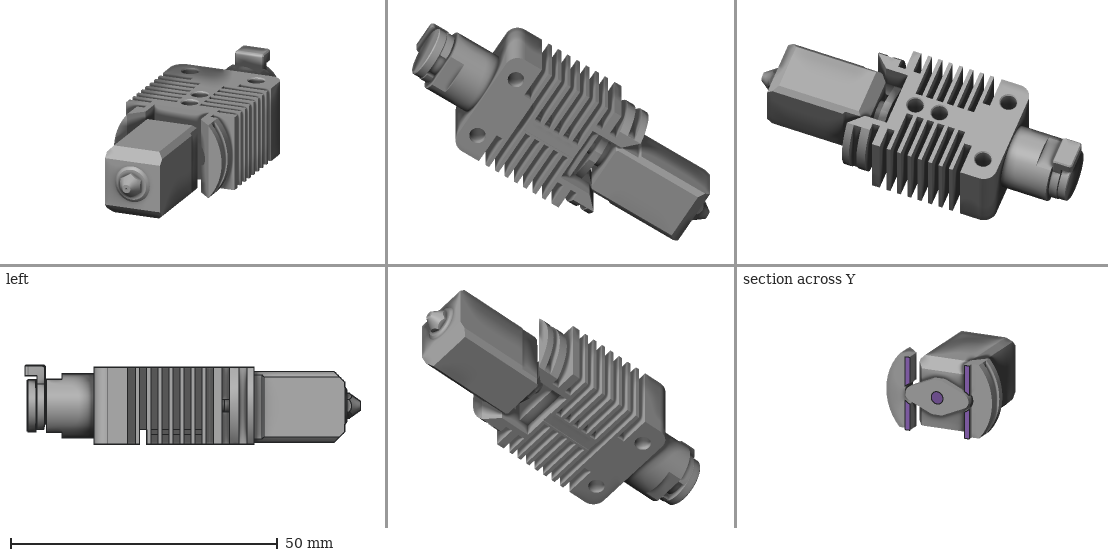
import cadquery as cq
import math


HEATSINK_FRONT = 19.95
HEATSINK_BACK = 49.95
POCKET_FLOOR = 26.9
FLANGE_FRONT = 24.1
FLANGE_BACK = 25.55
BLOCK_FRONT = 2.95
BLOCK_BACK = 22.95
FITTING_BACK = 58.9

SINK_WIDTH = 22.0
SINK_HEIGHT = 14.45
SINK_CORNER_RADIUS = 2.5
FIN_PITCH = 2.1
FIN_GAP = 1.3
FIN_GAP_COUNT = 6
FIRST_GAP_BACK = 41.4
CORE_HALF_WIDTH = 2.3
HEAD_SLOT_BACK = 43.65
HEAD_SLOT_FRONT = 42.15
HEAD_SLOT_ROOT = 4.8
ARM_HALF_WIDTH = 6.7
THICK_FIN_BACK = 27.55
ROUND_FIN_ROOT = 8.25
ROUND_FIN_BACK = 24.5
ARM_GAP_BACK = 26.0
ROUND_GAP_FRONT = 21.3
ROUND_GAP_BACK = 22.85
ROUND_FIN_DIAMETER = 21.9
POCKET_HALF_WIDTH = 5.6
CORE_BOTTOM = -4.45
KEEL_STEP = -5.4
KEEL_TOP_WIDTH = 3.9
KEEL_WIDTH = 3.15
KEEL_GROOVE_WIDTH = 2.25
KEEL_GROOVE_DEPTH = 0.2
HOLE_DIAMETER = 3.1
HOLE_RIM_DIAMETER = 3.5
MOUNT_HOLE_X = 6.7
MOUNT_HOLE_Y = 46.7
CLAMP_HOLE_YS = (35.4, 30.6)

COLLAR_DIAMETER = 5.05
BREAK_DIAMETER = 4.1
NECK_DIAMETER = 2.5
BREAK_TOP = 39.0
BREAK_BOTTOM = 15.1
FLANGE_FLAT_WIDTH = 2.1
FLANGE_HALF_HEIGHT = 3.4
EAR_DIAMETER = 3.0
EAR_X = 5.05
EAR_RECESS_DIAMETER = 4.1

PIN_DIAMETER = 1.5

BLOCK_WIDTH = 11.2
BLOCK_TOP = 6.4
BLOCK_BOTTOM = -6.85
BLOCK_EDGE_CHAMFER = 1.0
BLOCK_END_CHAMFER = 2.0
BLOCK_STEP_DEPTH = 0.4
BLOCK_STEP_Y = 18.5
BLOCK_CORNER_CHAMFER = 0.95
BOSS_DIAMETER = 7.05
BOSS_END_DIAMETER = 5.9
BOSS_FRONT = 2.6

NOZZLE_DIAMETER = 5.0
HEX_ACROSS_FLATS = 4.1
CONE_DIAMETER = 4.7
CONE_BACK = 2.15
TIP_DIAMETER = 1.65
ORIFICE_DIAMETER = 0.4

FITTING_DIAMETER = 12.0
FITTING_FLAT_SPACING = 10.0
FITTING_FLAT_FRONT = 56.0
COLLET_DIAMETER = 9.75
COLLET_NECK_DIAMETER = 6.8
COLLET_BACK = 62.45
COLLET_CHAMFER = 0.2
COLLET_HEAD_FRONT = 60.8
CLIP_DIAMETER = 10.05
CLIP_FRONT = 59.0
CLIP_BACK = 60.65
CLIP_MOUTH_WIDTH = 4.65
TAB_WIDTH = 5.8
TAB_TOP = 7.7
TAB_UNDERSIDE = 5.6
TAB_BACK = 62.9
TAB_CORNER_RADIUS = 0.6
CLIP_CHAMFER = 0.25
LEG_TAPER = 0.5
LEG_TAPER_TOP = -2.8


def box(x0, x1, y0, y1, z0, z1):
    """Axis-aligned box between opposite corners."""
    return cq.Workplane("XY").box(x1 - x0, y1 - y0, z1 - z0, centered=False).translate((x0, y0, z0))


def disc(diameter, y0, y1, x=0.0):
    """Round bar parallel to Y, from y0 to y1."""
    face_plane = cq.Workplane("XZ", origin=(x, y0, 0))
    return face_plane.circle(diameter / 2).extrude(y0 - y1)


def cone(diameter0, diameter1, y0, y1):
    """Cone frustum about the Y axis, diameter0 at y0 and diameter1 at y1."""
    profile = [(0, y0), (diameter0 / 2, y0), (diameter1 / 2, y1), (0, y1)]
    return cq.Workplane("XY").polyline(profile).close().revolve(360, (0, 0), (0, 1))


def hex_bar(across_flats, y0, y1):
    """Hexagonal bar parallel to Y with its flats facing +X and -X."""
    corner_circle = across_flats / math.cos(math.pi / 6)
    bar = cq.Workplane("XZ").polygon(6, corner_circle).extrude(y0 - y1)
    return bar.rotate((0, 0, 0), (0, 1, 0), 30).translate((0, y0, 0))


def flange_plate(y0, y1):
    """Lozenge with short flats above and below and a round ear on each side."""
    flat = FLANGE_FLAT_WIDTH / 2
    ear = EAR_DIAMETER / 2
    reach = math.hypot(EAR_X - flat, FLANGE_HALF_HEIGHT)
    slope = math.atan2(FLANGE_HALF_HEIGHT, EAR_X - flat) - math.asin(ear / reach)
    tangent_x = EAR_X + ear * math.sin(slope)
    tangent_z = ear * math.cos(slope)
    outline = (
        cq.Workplane("XZ", origin=(0, y0, 0))
        .moveTo(-flat, FLANGE_HALF_HEIGHT)
        .lineTo(flat, FLANGE_HALF_HEIGHT)
        .lineTo(tangent_x, tangent_z)
        .threePointArc((EAR_X + ear, 0), (tangent_x, -tangent_z))
        .lineTo(flat, -FLANGE_HALF_HEIGHT)
        .lineTo(-flat, -FLANGE_HALF_HEIGHT)
        .lineTo(-tangent_x, -tangent_z)
        .threePointArc((-EAR_X - ear, 0), (-tangent_x, tangent_z))
        .close()
    )
    return outline.extrude(y0 - y1)


def vertical_hole(x, y, bottom):
    """Cutter for a hole from the heatsink top down to bottom, with a chamfered rim."""
    top = SINK_HEIGHT / 2
    rim = (HOLE_RIM_DIAMETER - HOLE_DIAMETER) / 2
    profile = [
        (0, bottom),
        (HOLE_DIAMETER / 2, bottom),
        (HOLE_DIAMETER / 2, top - rim),
        (HOLE_RIM_DIAMETER / 2, top),
        (0, top),
    ]
    cutter = cq.Workplane("XZ").polyline(profile).close().revolve(360, (0, 0), (0, 1))
    return cutter.translate((x, y, 0))


def last_fin_front():
    """Front face of the last thin fin, where the row of side slots ends."""
    return FIRST_GAP_BACK - FIN_GAP_COUNT * FIN_PITCH


def heatsink_slots():
    """Front edge, back edge and root half width of each pair of side slots."""
    slots = [(HEAD_SLOT_FRONT, HEAD_SLOT_BACK, HEAD_SLOT_ROOT)]
    for i in range(FIN_GAP_COUNT):
        back = FIRST_GAP_BACK - i * FIN_PITCH
        slots.append((back - FIN_GAP, back, CORE_HALF_WIDTH))
    slots.append((THICK_FIN_BACK, last_fin_front(), ARM_HALF_WIDTH))
    slots.append((ROUND_FIN_BACK, ARM_GAP_BACK, ARM_HALF_WIDTH))
    slots.append((ROUND_GAP_FRONT, ROUND_GAP_BACK, ROUND_FIN_ROOT))
    return slots


def make_heatsink():
    side = SINK_WIDTH / 2
    top = SINK_HEIGHT / 2
    body = box(-side, side, HEATSINK_FRONT, HEATSINK_BACK, -top, top)
    body = body.edges("|Z and >Y").fillet(SINK_CORNER_RADIUS)

    front_blank = box(-side, side, HEATSINK_FRONT, ROUND_FIN_BACK, -top, top)
    round_front = disc(ROUND_FIN_DIAMETER, HEATSINK_FRONT, ROUND_FIN_BACK)
    body = body.cut(front_blank.cut(round_front))

    for front, back, root in heatsink_slots():
        body = body.cut(box(root, side, front, back, -top, top))
        body = body.cut(box(-side, -root, front, back, -top, top))

    mouth = ROUND_FIN_ROOT
    flare_back = HEATSINK_FRONT + mouth - POCKET_HALF_WIDTH
    pocket = (
        cq.Workplane("XY", origin=(0, 0, -top))
        .polyline([
            (-mouth, HEATSINK_FRONT),
            (mouth, HEATSINK_FRONT),
            (POCKET_HALF_WIDTH, flare_back),
            (POCKET_HALF_WIDTH, POCKET_FLOOR),
            (-POCKET_HALF_WIDTH, POCKET_FLOOR),
            (-POCKET_HALF_WIDTH, flare_back),
        ])
        .close()
        .extrude(SINK_HEIGHT)
    )
    body = body.cut(pocket)

    keel_back = FIRST_GAP_BACK - FIN_GAP
    core = CORE_HALF_WIDTH
    arm = POCKET_HALF_WIDTH
    body = body.cut(box(-arm, arm, POCKET_FLOOR, last_fin_front(), -top, CORE_BOTTOM))
    for i in range(FIN_GAP_COUNT):
        back = FIRST_GAP_BACK - i * FIN_PITCH
        body = body.cut(box(-core, core, back - FIN_GAP, back, -top, CORE_BOTTOM))
    step = KEEL_TOP_WIDTH / 2
    keel = KEEL_WIDTH / 2
    body = body.union(box(-step, step, last_fin_front(), keel_back, KEEL_STEP, CORE_BOTTOM))
    body = body.union(box(-keel, keel, last_fin_front(), keel_back, -top, KEEL_STEP))
    groove = KEEL_GROOVE_WIDTH / 2
    groove_top = KEEL_GROOVE_DEPTH - top
    body = body.cut(box(-groove, groove, last_fin_front(), keel_back, -top, groove_top))

    for x in (-EAR_X, EAR_X):
        body = body.cut(disc(EAR_RECESS_DIAMETER, HEATSINK_FRONT, ARM_GAP_BACK, x))
    body = body.cut(disc(BREAK_DIAMETER, POCKET_FLOOR, BREAK_TOP))

    for x in (-MOUNT_HOLE_X, MOUNT_HOLE_X):
        body = body.cut(vertical_hole(x, MOUNT_HOLE_Y, -top))
    for y in CLAMP_HOLE_YS:
        body = body.cut(vertical_hole(0, y, 0))
    return body


def make_heat_break():
    body = disc(BREAK_DIAMETER, POCKET_FLOOR, BREAK_TOP)
    body = body.union(disc(NECK_DIAMETER, FLANGE_BACK, POCKET_FLOOR))
    body = body.union(flange_plate(FLANGE_FRONT, FLANGE_BACK))
    body = body.union(disc(COLLAR_DIAMETER, BREAK_BOTTOM, FLANGE_FRONT))
    for x in (-EAR_X, EAR_X):
        body = body.cut(disc(PIN_DIAMETER, FLANGE_FRONT, FLANGE_BACK, x))
    return body


def make_pin(x):
    """Pin flush with both faces of a flange ear."""
    return disc(PIN_DIAMETER, FLANGE_FRONT, FLANGE_BACK, x)


def make_heater_block():
    side = BLOCK_WIDTH / 2
    narrow = side - BLOCK_STEP_DEPTH
    shoulder = BLOCK_STEP_Y - BLOCK_STEP_DEPTH
    corner = BLOCK_CORNER_CHAMFER
    half_plan = [
        (side, BLOCK_FRONT),
        (side, shoulder),
        (narrow, BLOCK_STEP_Y),
        (narrow, BLOCK_BACK - corner),
        (narrow - corner, BLOCK_BACK),
    ]
    plan = half_plan + [(-x, y) for x, y in reversed(half_plan)]
    height = BLOCK_TOP - BLOCK_BOTTOM
    body = cq.Workplane("XY", origin=(0, 0, BLOCK_BOTTOM)).polyline(plan).close().extrude(height)

    middle_z = (BLOCK_TOP + BLOCK_BOTTOM) / 2
    length_section = (
        cq.Workplane("XZ", origin=(0, BLOCK_FRONT, middle_z))
        .rect(BLOCK_WIDTH, height)
        .extrude(BLOCK_FRONT - BLOCK_BACK)
        .edges("|Y")
        .chamfer(BLOCK_EDGE_CHAMFER)
    )

    end = BLOCK_END_CHAMFER
    side_profile = [
        (BLOCK_FRONT, BLOCK_BOTTOM + end),
        (BLOCK_FRONT + end, BLOCK_BOTTOM),
        (BLOCK_BACK, BLOCK_BOTTOM),
        (BLOCK_BACK, BLOCK_TOP - end),
        (BLOCK_BACK - end, BLOCK_TOP),
        (BLOCK_FRONT + end, BLOCK_TOP),
        (BLOCK_FRONT, BLOCK_TOP - end),
    ]
    side_section = (
        cq.Workplane("YZ", origin=(-side, 0, 0)).polyline(side_profile).close().extrude(BLOCK_WIDTH)
    )
    body = body.intersect(length_section).intersect(side_section)

    body = body.union(cone(BOSS_END_DIAMETER, BOSS_DIAMETER, BOSS_FRONT, BLOCK_FRONT))
    body = body.cut(disc(NOZZLE_DIAMETER, BOSS_FRONT, BREAK_BOTTOM))
    return body.cut(disc(COLLAR_DIAMETER, BREAK_BOTTOM, BLOCK_BACK))


def make_nozzle():
    head = hex_bar(HEX_ACROSS_FLATS, 0, BOSS_FRONT)
    taper = cone(TIP_DIAMETER, CONE_DIAMETER, 0, CONE_BACK)
    body = head.intersect(taper.union(disc(CONE_DIAMETER, CONE_BACK, BOSS_FRONT)))
    body = body.union(disc(NOZZLE_DIAMETER, BOSS_FRONT, BREAK_BOTTOM))
    return body.cut(disc(ORIFICE_DIAMETER, 0, BREAK_BOTTOM))


def make_fitting():
    """Tube fitting with two wrench flats at its back end."""
    radius = FITTING_DIAMETER / 2
    flat = FITTING_FLAT_SPACING / 2
    body = disc(FITTING_DIAMETER, HEATSINK_BACK, FITTING_BACK)
    body = body.cut(box(-radius, radius, FITTING_FLAT_FRONT, FITTING_BACK, flat, radius))
    return body.cut(box(-radius, radius, FITTING_FLAT_FRONT, FITTING_BACK, -radius, -flat))


def make_collet():
    neck = disc(COLLET_NECK_DIAMETER, FITTING_BACK, COLLET_HEAD_FRONT)
    head = disc(COLLET_DIAMETER, COLLET_HEAD_FRONT, COLLET_BACK)
    return neck.union(head.edges(">Y").chamfer(COLLET_CHAMFER))


def make_clip():
    """Horseshoe clip round the collet neck, open below, with a hooked tab on top."""
    radius = CLIP_DIAMETER / 2
    half_tab = TAB_WIDTH / 2
    tab = box(-half_tab, half_tab, CLIP_FRONT, TAB_BACK, 0, TAB_TOP)
    tab = tab.edges("|Z and >Y").fillet(TAB_CORNER_RADIUS)
    tab = tab.edges("|Z and <Y").chamfer(CLIP_CHAMFER)
    tab = tab.edges("|X and <Y and >Z").fillet(TAB_CORNER_RADIUS)
    tab = tab.edges("|Y and >Z").chamfer(CLIP_CHAMFER)
    tab = tab.cut(box(-half_tab, half_tab, CLIP_BACK, TAB_BACK, 0, TAB_UNDERSIDE))

    ring = disc(CLIP_DIAMETER, CLIP_FRONT, CLIP_BACK).edges("<Y").chamfer(CLIP_CHAMFER)
    body = ring.union(tab)
    body = body.cut(disc(COLLET_NECK_DIAMETER, CLIP_FRONT, CLIP_BACK))
    half_mouth = CLIP_MOUTH_WIDTH / 2
    body = body.cut(box(-half_mouth, half_mouth, CLIP_FRONT, CLIP_BACK, -radius, 0))

    taper = (
        cq.Workplane("YZ", origin=(-radius, 0, 0))
        .polyline([
            (CLIP_FRONT, LEG_TAPER_TOP),
            (CLIP_FRONT + LEG_TAPER, -radius),
            (CLIP_FRONT, -radius),
        ])
        .close()
        .extrude(CLIP_DIAMETER)
    )
    return body.cut(taper)


heatsink = make_heatsink()
heat_break = make_heat_break()
pins = [make_pin(x) for x in (-EAR_X, EAR_X)]
heater_block = make_heater_block()
nozzle = make_nozzle()
fitting = make_fitting()
collet = make_collet()
clip = make_clip()

result = cq.Compound.makeCompound([
    heatsink.val(),
    heat_break.val(),
    *[pin.val() for pin in pins],
    heater_block.val(),
    nozzle.val(),
    fitting.val(),
    collet.val(),
    clip.val(),
])